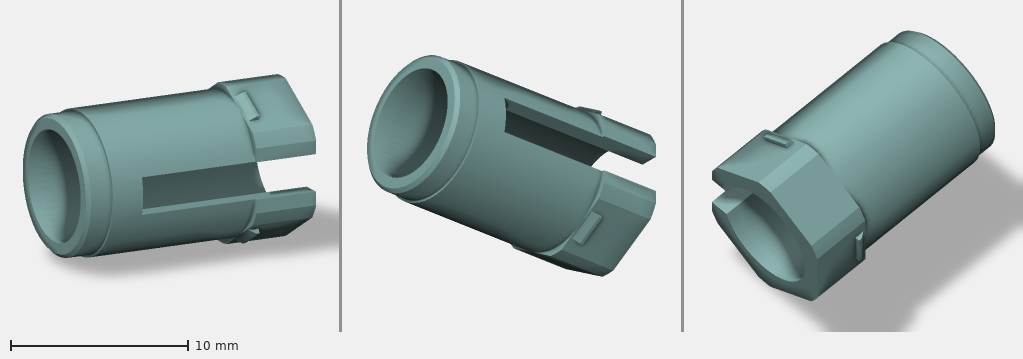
import cadquery as cq
import math

TOTAL_LENGTH = 14.45
HEAD_LENGTH = 3.8
SHOULDER_Y = 12.9
SLOT_LENGTH = 11.0

BORE_RADIUS = 3.25
BODY_RADIUS = 4.25
SPIGOT_RADIUS = 4.1
SPIGOT_CHAMFER = 0.22
HEAD_ACROSS_FLATS = 2 * BODY_RADIUS
HEAD_CORNER_RADIUS = 4.65
SLOT_WIDTH = 2.2

BARB_HEIGHT = 0.29
BARB_WIDTH = 2.0
BARB_START = 3.02
BARB_LENGTH = 0.64
BARB_TIP_LENGTH = 0.2
BARB_ROOT = 0.15
BARB_ANGLES = (60, 180, 300)


def cylinder(radius, length):
    """Solid cylinder on the Z axis, starting at the back face."""
    return cq.Workplane("XY").circle(radius).extrude(length)


def make_head():
    """Hexagon with two flats facing +X and -X and its corners turned round."""
    across_corners = HEAD_ACROSS_FLATS / math.cos(math.radians(30))
    hexagon = (
        cq.Workplane("XY")
        .polygon(6, across_corners)
        .extrude(HEAD_LENGTH)
        .rotate((0, 0, 0), (0, 0, 1), 30)
    )
    return hexagon.intersect(cylinder(HEAD_CORNER_RADIUS, HEAD_LENGTH))


def make_barb(angle):
    """Barb with a square back and a ramp falling towards the front."""
    flat = HEAD_ACROSS_FLATS / 2
    barb_end = BARB_START + BARB_LENGTH
    profile = [
        (flat - BARB_ROOT, BARB_START),
        (flat + BARB_HEIGHT, BARB_START),
        (flat + BARB_HEIGHT, BARB_START + BARB_TIP_LENGTH),
        (flat, barb_end),
        (flat - BARB_ROOT, barb_end),
    ]
    barb = cq.Workplane("XZ").polyline(profile).close().extrude(BARB_WIDTH / 2, both=True)
    return barb.rotate((0, 0, 0), (0, 0, 1), angle)


def make_slot():
    """Slot through the +X wall, open at the back."""
    return cq.Workplane("XY").box(
        HEAD_CORNER_RADIUS, SLOT_WIDTH, SLOT_LENGTH, centered=(False, True, False)
    )


spigot = cylinder(SPIGOT_RADIUS, TOTAL_LENGTH).faces(">Z").chamfer(SPIGOT_CHAMFER)
sleeve = spigot.union(cylinder(BODY_RADIUS, SHOULDER_Y)).union(make_head())
for barb_angle in BARB_ANGLES:
    sleeve = sleeve.union(make_barb(barb_angle))
sleeve = sleeve.cut(cylinder(BORE_RADIUS, TOTAL_LENGTH)).cut(make_slot())

result = sleeve.rotate((0, 0, 0), (1, 0, 0), 90)